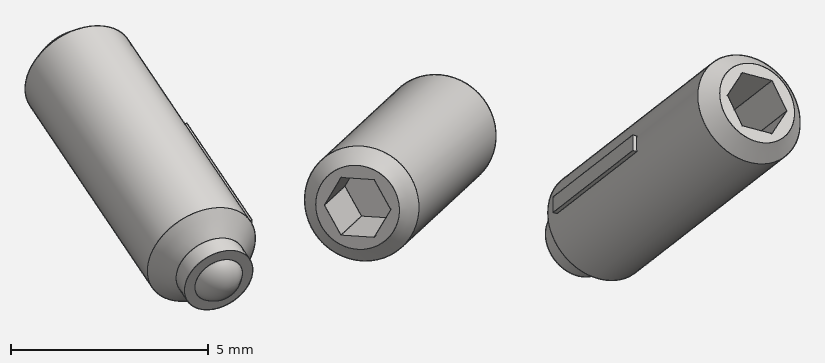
import cadquery as cq
import math

overall_length = 9.4
body_diameter = 3.0
drive_chamfer = 0.4
cone_start = 7.93
pin_diameter = 1.9
ball_diameter = 1.48
ball_projection = 0.4
hex_across_flats = 1.5
hex_depth = 2.0
strip_start = 3.49
strip_length = 4.0
strip_width = 0.44
strip_projection = 0.1

body_radius = body_diameter / 2
pin_radius = pin_diameter / 2
ball_radius = ball_diameter / 2
drive_face_radius = body_radius - drive_chamfer
cone_end = cone_start + body_radius - pin_radius
pin_end = overall_length - ball_projection
ball_center = overall_length - ball_radius
ball_exit_radius = math.sqrt(ball_radius**2 - (pin_end - ball_center) ** 2)
ball_exit_angle = math.atan2(ball_exit_radius, pin_end - ball_center)
ball_mid_x = ball_center + ball_radius * math.cos(ball_exit_angle / 2)
ball_mid_radius = ball_radius * math.sin(ball_exit_angle / 2)
hex_across_corners = hex_across_flats / math.cos(math.radians(30))


def make_body():
    """Turned sleeve with a chamfered drive end, a nose cone, a guide pin and a ball tip."""
    return (
        cq.Workplane("XY")
        .moveTo(0, 0)
        .lineTo(0, drive_face_radius)
        .lineTo(drive_chamfer, body_radius)
        .lineTo(cone_start, body_radius)
        .lineTo(cone_end, pin_radius)
        .lineTo(pin_end, pin_radius)
        .lineTo(pin_end, ball_exit_radius)
        .threePointArc((ball_mid_x, ball_mid_radius), (overall_length, 0))
        .close()
        .revolve(360, (0, 0), (1, 0))
    )


def make_locking_strip():
    """Flat-topped strip standing proud of the +Y side of the sleeve."""
    strip_height = body_radius + strip_projection
    return cq.Workplane("XY").box(
        strip_length, strip_height, strip_width, centered=(False, False, True)
    ).translate((strip_start, 0, 0))


def make_hex_socket():
    """Hexagonal drive recess with two corners on the Y axis."""
    return cq.Workplane("YZ").polygon(6, hex_across_corners).extrude(hex_depth)


result = make_body().union(make_locking_strip()).cut(make_hex_socket())